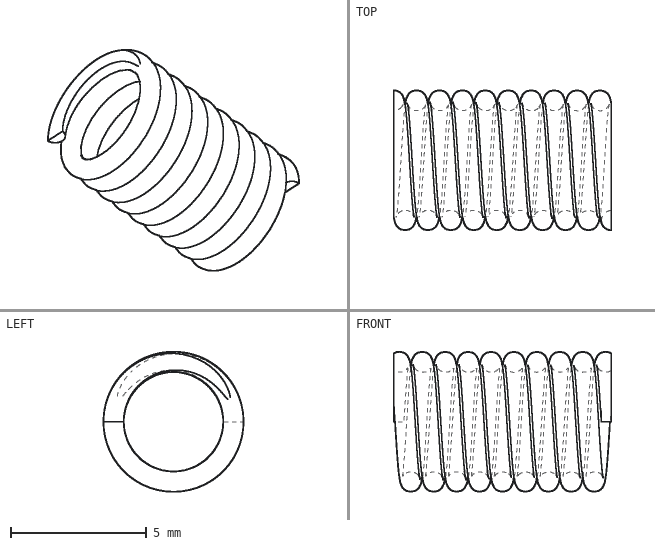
import cadquery as cq

length = 8.06
outer_diameter = 5.19
wire_diameter = 0.75
turns = 9.5

pitch = length / turns
coil_radius = (outer_diameter - wire_diameter) / 2


def wound_wire():
    """Full round wire, wound about Z and starting on the +X side."""
    helix = cq.Workplane(cq.Wire.makeHelix(pitch, length, coil_radius))
    section = cq.Workplane("XZ").center(coil_radius, 0).circle(wire_diameter / 2)
    return section.sweep(helix, isFrenet=True)


def ground_length():
    """Block between the two flat end planes, wider than the coil."""
    width = outer_diameter + wire_diameter
    return cq.Workplane("XY").box(length, width, width).translate((length / 2, 0, 0))


coil = wound_wire().rotate((0, 0, 0), (1, 1, 1), 120)

result = coil.intersect(ground_length())